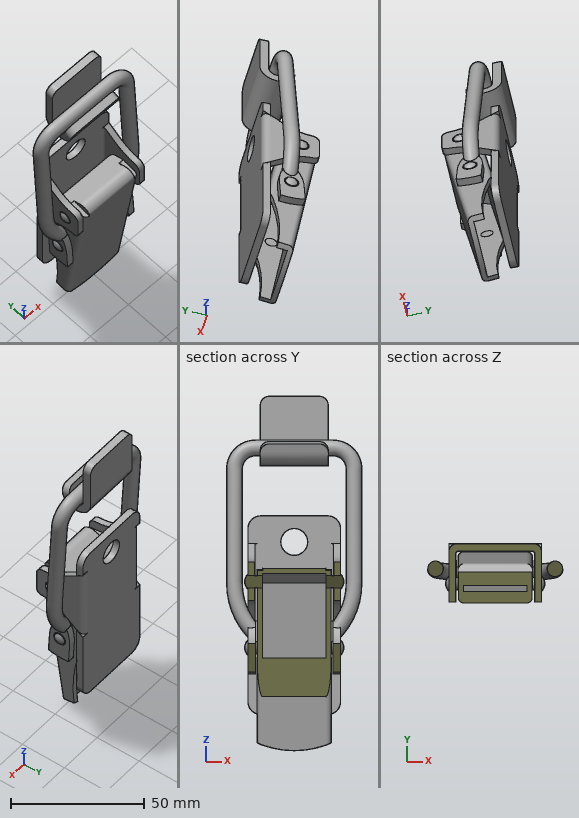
import cadquery as cq
import math


SIDES = (-1, 1)

BASE_HALF_WIDTH = 17.5
BASE_THICKNESS = 3.0
BASE_BOTTOM_Z = 13.6
BASE_TOP_Z = 88.4
BASE_CORNER_RADIUS = 5.0
MOUNT_HOLE_DIAMETER = 10.0
MOUNT_HOLE_Z = 78.5
EAR_THICKNESS = 2.7
EAR_FRONT_Y = -22.0
EAR_FOLD_INNER_RADIUS = 0.8
EAR_FOLD_OUTER_RADIUS = 3.0
EAR_TOP_CORNER_RADIUS = 3.1
EAR_BOTTOM_CORNER_RADIUS = 2.4
EAR_TOP_Z = 70.7
EAR_BOTTOM_Z = 57.0
EAR_TOP_ROOT_Z = 79.9
EAR_BOTTOM_ROOT_Z = 46.5
EAR_TOP_BEND = (-8.3, 74.4)
EAR_TOP_ARC_MIDDLE = (-13.6, 71.6)
EAR_BOTTOM_BEND = (-8.0, 52.5)
EAR_BOTTOM_ARC_MIDDLE = (-13.6, 55.7)

EAR_RIVET = (-15.1, 63.6)
BAIL_RIVET = (-11.1, 38.8)
RIVET_SHANK_DIAMETER = 4.7
RIVET_HEAD_DIAMETER = 5.6
RIVET_HEAD_HEIGHT = 1.2

WIRE_DIAMETER = 6.0
BAIL_HALF_WIDTH = 25.5
BAIL_LENGTH = 75.2
BAIL_TILT = 3.3
BAIL_TOP_BEND_RADIUS = 7.9
BAIL_LOWER_BEND_RADIUS = 26.5
BAIL_LOWER_BEND_START = 24.1
BAIL_LOWER_BEND_ANGLE = 50
TAB_THICKNESS = 3.0
TAB_HALF_WIDTH = 4.8
TAB_BOTTOM = -9.5
TAB_BOTTOM_CROWN = 0.5
TAB_SHOULDER = -0.3
TAB_TOP = 7.3
TAB_TOP_HALF_WIDTH = 3.0
TAB_FLANK_MIDDLE = (4.3, 3.6)

HOOK_HALF_WIDTH = 12.8
HOOK_THICKNESS = 3.5
HOOK_TOP_Z = 133.3
HOOK_CORNER_RADIUS = 3.3
HOOK_LIP_LENGTH = 3.5
HOOK_LIP_LEAN = 16

LEVER_TIP_Y = -12.7
LEVER_TILT = 8.3
LEVER_HALF_WIDTH = 14.0
LEVER_SHEET = 2.1
LEVER_DEPTH = 14.4
LEVER_FRONT_HEIGHT = 68.3
LEVER_FRONT_CORNER_RADIUS = 1.1
LEVER_BACK_CORNER_RADIUS = 2.4
WALL_TOP_HEIGHT = 67.6
LEVER_CROWN_MIDDLE = (3.0, 69.9)
LEVER_CROWN_END = (5.6, 69.2)
LEVER_TOP_HEIGHT = 70.7
LEVER_BACK_TOP = 64.1
LEVER_BACK_BOTTOM = 32.0
LEVER_TIP_RISE = 3.0
WALL_TOP_DEPTH = 13.6
WALL_MIDDLE = (9.0, 20.1)
WALL_BOTTOM_DEPTH = 6.3


def x_prism(sketch_yz, x_start, x_end):
    """Extrude a closed outline drawn in the YZ plane from x_start to x_end."""
    return sketch_yz.extrude(x_end - x_start).translate((x_start, 0, 0))


def yz():
    """New sketch in the YZ plane."""
    return cq.Workplane("YZ")


def x_cylinder(axis, diameter, x_start, x_end):
    """Cylinder along X about the axis (Y, Z)."""
    return x_prism(yz().center(*axis).circle(diameter / 2), x_start, x_end)


def mirrored(right_half):
    """The shape together with its mirror image across X = 0."""
    return right_half.union(right_half.mirror("YZ"))


def through_hole(axis, diameter):
    """Cylinder along X that reaches through every body."""
    return x_cylinder(axis, diameter, -BAIL_HALF_WIDTH, BAIL_HALF_WIDTH)


def ear_outline():
    """Side outline of an ear, carried through the base plate to its back."""
    return (
        yz()
        .moveTo(0, EAR_BOTTOM_ROOT_Z)
        .lineTo(*EAR_BOTTOM_BEND)
        .threePointArc(EAR_BOTTOM_ARC_MIDDLE, (EAR_FRONT_Y + EAR_BOTTOM_CORNER_RADIUS, EAR_BOTTOM_Z))
        .radiusArc((EAR_FRONT_Y, EAR_BOTTOM_Z + EAR_BOTTOM_CORNER_RADIUS), EAR_BOTTOM_CORNER_RADIUS)
        .lineTo(EAR_FRONT_Y, EAR_TOP_Z - EAR_TOP_CORNER_RADIUS)
        .radiusArc((EAR_FRONT_Y + EAR_TOP_CORNER_RADIUS, EAR_TOP_Z), EAR_TOP_CORNER_RADIUS)
        .threePointArc(EAR_TOP_ARC_MIDDLE, EAR_TOP_BEND)
        .lineTo(0, EAR_TOP_ROOT_Z)
        .close()
    )


def ear_section():
    """L-shaped section of the fold in the XY plane, rounded outside and inside the bend."""
    inner_x = BASE_HALF_WIDTH - EAR_THICKNESS
    return (
        cq.Workplane("XY")
        .moveTo(0, 0)
        .lineTo(BASE_HALF_WIDTH - EAR_FOLD_OUTER_RADIUS, 0)
        .radiusArc((BASE_HALF_WIDTH, -EAR_FOLD_OUTER_RADIUS), EAR_FOLD_OUTER_RADIUS)
        .lineTo(BASE_HALF_WIDTH, EAR_FRONT_Y)
        .lineTo(inner_x, EAR_FRONT_Y)
        .lineTo(inner_x, -BASE_THICKNESS - EAR_FOLD_INNER_RADIUS)
        .radiusArc((inner_x - EAR_FOLD_INNER_RADIUS, -BASE_THICKNESS), -EAR_FOLD_INNER_RADIUS)
        .lineTo(0, -BASE_THICKNESS)
        .close()
        .extrude(BASE_TOP_Z)
    )


def make_base():
    """Rounded plate with a mounting hole and two drilled ears folded forward."""
    height = BASE_TOP_Z - BASE_BOTTOM_Z
    plate = (
        cq.Workplane("XY")
        .box(2 * BASE_HALF_WIDTH, BASE_THICKNESS, height, centered=(True, False, False))
        .translate((0, -BASE_THICKNESS, BASE_BOTTOM_Z))
        .edges("|Y")
        .fillet(BASE_CORNER_RADIUS)
    )
    ear_block = x_prism(ear_outline(), 0, BASE_HALF_WIDTH)
    ears = mirrored(ear_block.intersect(ear_section()))
    mount_hole = (
        cq.Workplane("XZ").center(0, MOUNT_HOLE_Z).circle(MOUNT_HOLE_DIAMETER / 2).extrude(BASE_THICKNESS)
    )
    plate = plate.cut(mirrored(ear_block)).union(ears)
    return plate.cut(mount_hole).cut(through_hole(EAR_RIVET, RIVET_SHANK_DIAMETER))


def bail_tab():
    """Flattened end of the wire."""
    flank_x, flank_z = TAB_FLANK_MIDDLE
    outline = (
        yz()
        .moveTo(TAB_HALF_WIDTH, TAB_BOTTOM)
        .lineTo(TAB_HALF_WIDTH, TAB_SHOULDER)
        .threePointArc((flank_x, flank_z), (TAB_TOP_HALF_WIDTH, TAB_TOP))
        .lineTo(-TAB_TOP_HALF_WIDTH, TAB_TOP)
        .threePointArc((-flank_x, flank_z), (-TAB_HALF_WIDTH, TAB_SHOULDER))
        .lineTo(-TAB_HALF_WIDTH, TAB_BOTTOM)
        .threePointArc((0, TAB_BOTTOM - TAB_BOTTOM_CROWN), (TAB_HALF_WIDTH, TAB_BOTTOM))
        .close()
    )
    return x_prism(outline, BASE_HALF_WIDTH - TAB_THICKNESS, BASE_HALF_WIDTH)


def bail_wire():
    """Half of the wire loop, from the middle of its top bar down into the tab."""
    leg_x = BAIL_HALF_WIDTH - WIRE_DIAMETER / 2
    angle = math.radians(BAIL_LOWER_BEND_ANGLE)

    def lower_bend(turn):
        return (
            leg_x - BAIL_LOWER_BEND_RADIUS * (1 - math.cos(turn)),
            BAIL_LOWER_BEND_START - BAIL_LOWER_BEND_RADIUS * math.sin(turn),
        )

    path = (
        cq.Workplane("XZ")
        .moveTo(0, BAIL_LENGTH)
        .lineTo(leg_x - BAIL_TOP_BEND_RADIUS, BAIL_LENGTH)
        .radiusArc((leg_x, BAIL_LENGTH - BAIL_TOP_BEND_RADIUS), BAIL_TOP_BEND_RADIUS)
        .lineTo(leg_x, BAIL_LOWER_BEND_START)
        .threePointArc(lower_bend(angle / 2), lower_bend(angle))
    )
    wire = yz().center(0, BAIL_LENGTH).circle(WIRE_DIAMETER / 2).sweep(path)
    lever_space = cq.Workplane("XY").box(
        2 * (BASE_HALF_WIDTH - TAB_THICKNESS), 2 * WIRE_DIAMETER, 2 * BAIL_LOWER_BEND_START
    )
    return wire.cut(lever_space)


def bail_rivet_space():
    """Hole through the tab and, outside it, room in the wire for the rivet head."""
    head_space = x_cylinder((0, 0), RIVET_HEAD_DIAMETER, BASE_HALF_WIDTH, BAIL_HALF_WIDTH)
    return head_space.union(through_hole((0, 0), RIVET_SHANK_DIAMETER))


def make_bail():
    """Wire loop with flattened ends, leaning about the axis of its rivets."""
    bail = mirrored(bail_wire().union(bail_tab()).cut(bail_rivet_space()))
    return bail.rotate((0, 0, 0), (1, 0, 0), -BAIL_TILT).translate((0, *BAIL_RIVET))


def make_hook():
    """Bent strip with rounded corners on its plate and on its lip."""
    tilt = math.radians(BAIL_TILT)
    center_y = BAIL_RIVET[0] + BAIL_LENGTH * math.sin(tilt)
    center_z = BAIL_RIVET[1] + BAIL_LENGTH * math.cos(tilt)
    outer = -center_y
    inner = outer - HOOK_THICKNESS
    lean = math.radians(HOOK_LIP_LEAN)

    def bend_point(radius, angle):
        """Point of the bend, with the angle measured from -Y downward."""
        return (center_y - radius * math.cos(angle), center_z - radius * math.sin(angle))

    def lip_point(radius):
        y, z = bend_point(radius, lean)
        return (y - HOOK_LIP_LENGTH * math.sin(lean), z + HOOK_LIP_LENGTH * math.cos(lean))

    bottom = math.pi / 2
    profile = (
        yz()
        .moveTo(0, HOOK_TOP_Z)
        .lineTo(0, center_z)
        .threePointArc(bend_point(outer, bottom), bend_point(outer, lean))
        .lineTo(*lip_point(outer))
        .lineTo(*lip_point(inner))
        .lineTo(*bend_point(inner, lean))
        .threePointArc(bend_point(inner, bottom), (-HOOK_THICKNESS, center_z))
        .lineTo(-HOOK_THICKNESS, HOOK_TOP_Z)
        .close()
    )
    hook = x_prism(profile, -HOOK_HALF_WIDTH, HOOK_HALF_WIDTH)
    hook = hook.edges("|Y and >Z").fillet(HOOK_CORNER_RADIUS)
    lip_end_y, lip_end_z = lip_point((outer + inner) / 2)
    lip_end = hook.faces(cq.NearestToPointSelector((0, lip_end_y, lip_end_z)))
    return lip_end.edges("<X or >X").fillet(HOOK_CORNER_RADIUS)


def lever_block():
    """Solid envelope of the lever, its front face at Y = 0 and its top edges rounded."""
    profile = (
        yz()
        .lineTo(0, LEVER_FRONT_HEIGHT)
        .threePointArc(LEVER_CROWN_MIDDLE, LEVER_CROWN_END)
        .lineTo(LEVER_DEPTH, LEVER_BACK_TOP)
        .lineTo(LEVER_DEPTH, 0)
        .close()
    )
    block = x_prism(profile, -LEVER_HALF_WIDTH, LEVER_HALF_WIDTH)
    block = block.edges(cq.NearestToPointSelector((0, 0, LEVER_FRONT_HEIGHT))).fillet(
        LEVER_FRONT_CORNER_RADIUS
    )
    block = block.edges(cq.NearestToPointSelector((0, LEVER_DEPTH, LEVER_BACK_TOP))).fillet(
        LEVER_BACK_CORNER_RADIUS
    )
    rounded_bar = (
        cq.Workplane("XY")
        .box(2 * LEVER_HALF_WIDTH, LEVER_DEPTH, LEVER_TOP_HEIGHT, centered=(True, False, False))
        .edges("|Z")
        .fillet(LEVER_SHEET)
    )
    return block.intersect(rounded_bar)


def lever_wall_notches():
    """Space above the side walls, on both sides of the narrower top flap."""
    notch = (
        cq.Workplane("XY")
        .box(LEVER_SHEET, LEVER_DEPTH, LEVER_TOP_HEIGHT - WALL_TOP_HEIGHT, centered=False)
        .translate((LEVER_HALF_WIDTH - LEVER_SHEET, 0, WALL_TOP_HEIGHT))
    )
    return mirrored(notch)


def lever_cavity():
    """Space inside the sheet, open toward the base plate below the back plate."""
    crown_depth, crown_height = LEVER_CROWN_END
    outline = (
        yz()
        .moveTo(LEVER_SHEET, 0)
        .lineTo(LEVER_SHEET, LEVER_FRONT_HEIGHT - LEVER_SHEET)
        .lineTo(crown_depth, crown_height - LEVER_SHEET)
        .lineTo(LEVER_DEPTH - LEVER_SHEET, LEVER_BACK_TOP - LEVER_SHEET)
        .lineTo(LEVER_DEPTH - LEVER_SHEET, 0)
        .close()
    )
    half_width = LEVER_HALF_WIDTH - LEVER_SHEET
    return x_prism(outline, -half_width, half_width)


def lever_rear_clearance():
    """Space behind the side walls, below the back plate."""
    outline = (
        yz()
        .moveTo(LEVER_DEPTH, LEVER_BACK_BOTTOM)
        .lineTo(WALL_TOP_DEPTH, LEVER_BACK_BOTTOM)
        .threePointArc(WALL_MIDDLE, (WALL_BOTTOM_DEPTH, 0))
        .lineTo(LEVER_DEPTH, 0)
        .close()
    )
    return x_prism(outline, -LEVER_HALF_WIDTH, LEVER_HALF_WIDTH)


def lever_tip_space():
    """Space below the rounded tip."""
    return (
        cq.Workplane("XZ")
        .moveTo(-LEVER_HALF_WIDTH, 0)
        .lineTo(-LEVER_HALF_WIDTH, LEVER_TIP_RISE)
        .threePointArc((0, 0), (LEVER_HALF_WIDTH, LEVER_TIP_RISE))
        .lineTo(LEVER_HALF_WIDTH, -LEVER_TIP_RISE)
        .lineTo(-LEVER_HALF_WIDTH, -LEVER_TIP_RISE)
        .close()
        .extrude(-LEVER_DEPTH)
    )


def make_lever():
    """Sheet lever, tilted about its tip and drilled for the rivets."""
    lever = lever_block()
    for space in (lever_cavity(), lever_rear_clearance(), lever_tip_space(), lever_wall_notches()):
        lever = lever.cut(space)
    lever = lever.rotate((0, 0, 0), (1, 0, 0), LEVER_TILT).translate((0, LEVER_TIP_Y, 0))
    for axis in (EAR_RIVET, BAIL_RIVET):
        lever = lever.cut(through_hole(axis, RIVET_SHANK_DIAMETER))
    return lever


def make_rivet(axis, side):
    """Rivet along X with a domed head, flush with the inside of the lever wall."""
    shank_length = BASE_HALF_WIDTH - LEVER_HALF_WIDTH + LEVER_SHEET
    shank_radius = RIVET_SHANK_DIAMETER / 2
    head_radius = RIVET_HEAD_DIAMETER / 2
    dome_radius = (head_radius**2 + RIVET_HEAD_HEIGHT**2) / (2 * RIVET_HEAD_HEIGHT)
    half_section = (
        cq.Workplane("XY")
        .lineTo(0, shank_radius)
        .lineTo(shank_length, shank_radius)
        .lineTo(shank_length, head_radius)
        .radiusArc((shank_length + RIVET_HEAD_HEIGHT, 0), dome_radius)
        .close()
    )
    rivet = half_section.revolve(360, (0, 0, 0), (1, 0, 0))
    rivet = rivet.translate((LEVER_HALF_WIDTH - LEVER_SHEET, *axis))
    return rivet if side > 0 else rivet.mirror("YZ")


base = make_base()
bail = make_bail()
hook = make_hook()
lever = make_lever()
rivets = [make_rivet(axis, side) for axis in (EAR_RIVET, BAIL_RIVET) for side in SIDES]

bodies = [base, bail, hook, lever, *rivets]
result = cq.Compound.makeCompound([body.solids().val() for body in bodies])